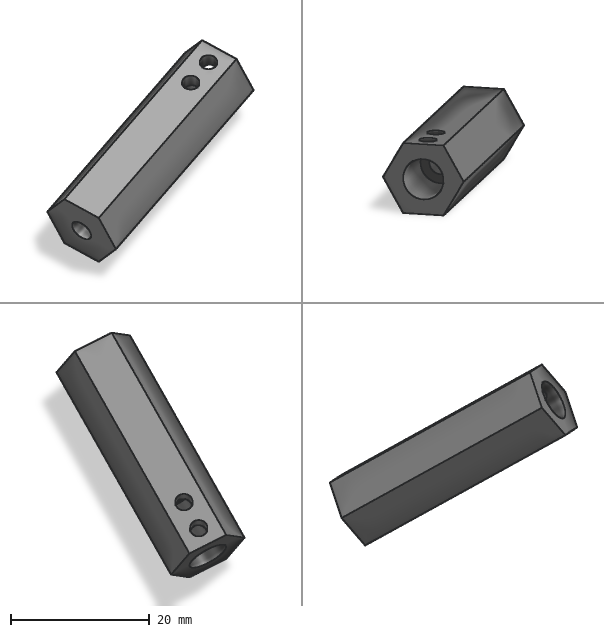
import cadquery as cq
import math

length = 35.0
across_flats = 10.4
across_corners = across_flats / math.cos(math.radians(30))

bore_diameter = 3.32
socket_diameter = 6.0
socket_depth = 10.0

screw_hole_diameter = 2.52
first_hole_inset = 2.75
hole_spacing = 4.5

back_face = length / 2


def cylinder_from_back(diameter, depth):
    """Cylinder running from the +Y end face towards -Y."""
    return cq.Workplane("XZ", origin=(0, back_face, 0)).circle(diameter / 2).extrude(depth)


def screw_hole(inset):
    """Cutter from the axis up through the top flat."""
    return (
        cq.Workplane("XY", origin=(0, back_face - inset, 0))
        .circle(screw_hole_diameter / 2)
        .extrude(across_flats / 2)
    )


body = cq.Workplane("XZ", origin=(0, back_face, 0)).polygon(6, across_corners).extrude(length)
body = body.cut(cylinder_from_back(bore_diameter, length))
body = body.cut(cylinder_from_back(socket_diameter, socket_depth))

for hole_number in range(2):
    body = body.cut(screw_hole(first_hole_inset + hole_number * hole_spacing))

result = body